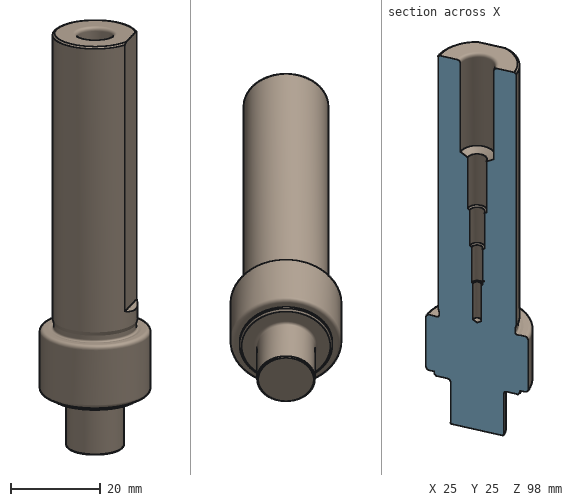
import cadquery as cq
import math

total_length = 98.0
pin_length = 12.0
pilot_top = 13.0
collar_top = 28.0

collar_diameter = 25.0
shaft_diameter = 19.1
pilot_diameter = 20.9
pin_diameter = 13.0

collar_round = 1.0
shaft_chamfer = 0.5
shaft_chamfer_height = 0.4
pilot_chamfer = 0.5
pin_chamfer = 0.3
pin_root_round = 0.7

neck_diameter = 18.6
neck_length = 2.3
neck_round = 0.5
neck_ramp = 0.9
face_relief_diameter = 20.9
face_relief_depth = 0.1

flat_offset = 8.4
flat_bottom = 34.3
run_out_angle = 35.0

mouth_round = 0.9
bore_steps = [
    (8.0, 24.5),
    (4.5, 39.2),
    (3.5, 49.0),
    (2.5, 58.8),
    (2.0, 68.6),
]
drill_point_angle = 118.0


def make_body():
    """Revolve the outside outline, drawn from the shaft end down to the pin end."""
    shaft_radius = shaft_diameter / 2
    collar_radius = collar_diameter / 2
    pilot_radius = pilot_diameter / 2
    pin_radius = pin_diameter / 2
    neck_radius = neck_diameter / 2
    neck_top = collar_top + neck_length
    neck_floor = collar_top - face_relief_depth

    outline = (
        cq.Workplane("XZ")
        .moveTo(0, total_length)
        .lineTo(shaft_radius - shaft_chamfer, total_length)
        .lineTo(shaft_radius, total_length - shaft_chamfer_height)
        .lineTo(shaft_radius, neck_top)
    )
    outline = (
        outline.lineTo(neck_radius, neck_top - neck_ramp)
        .lineTo(neck_radius, neck_floor + neck_round)
        .radiusArc((neck_radius + neck_round, neck_floor), -neck_round)
        .lineTo(face_relief_diameter / 2, collar_top)
    )
    outline = (
        outline.lineTo(collar_radius - collar_round, collar_top)
        .radiusArc((collar_radius, collar_top - collar_round), collar_round)
        .lineTo(collar_radius, pilot_top + collar_round)
        .radiusArc((collar_radius - collar_round, pilot_top), collar_round)
    )
    outline = (
        outline.lineTo(pilot_radius, pilot_top)
        .lineTo(pilot_radius, pin_length + pilot_chamfer)
        .lineTo(pilot_radius - pilot_chamfer, pin_length)
        .lineTo(pin_radius + pin_root_round, pin_length)
        .radiusArc((pin_radius, pin_length - pin_root_round), -pin_root_round)
        .lineTo(pin_radius, pin_chamfer)
        .lineTo(pin_radius - pin_chamfer, 0)
        .lineTo(0, 0)
        .close()
    )
    return outline.revolve()


def make_flat_cutter():
    """Block that removes the +X side of the shaft above the sloped run-out."""
    reach = collar_diameter - flat_offset
    run_out_drop = reach * math.tan(math.radians(run_out_angle))
    return (
        cq.Workplane("XZ")
        .moveTo(flat_offset, total_length)
        .lineTo(flat_offset, flat_bottom)
        .lineTo(flat_offset + reach, flat_bottom - run_out_drop)
        .lineTo(flat_offset + reach, total_length)
        .close()
        .extrude(shaft_diameter / 2, both=True)
    )


def make_bore():
    """Revolve the stepped bore, with a rounded mouth and drill-point cones between its steps."""
    cone_slope = 1 / math.tan(math.radians(drill_point_angle / 2))
    radii = [diameter / 2 for diameter, depth in bore_steps]
    floors = [total_length - depth for diameter, depth in bore_steps]
    next_radii = radii[1:] + [0]

    outline = (
        cq.Workplane("XZ")
        .moveTo(0, total_length)
        .lineTo(radii[0] + mouth_round, total_length)
        .radiusArc((radii[0], total_length - mouth_round), -mouth_round)
    )
    for radius, floor, next_radius in zip(radii, floors, next_radii):
        outline = outline.lineTo(radius, floor)
        outline = outline.lineTo(next_radius, floor - (radius - next_radius) * cone_slope)
    return outline.close().revolve()


result = make_body().cut(make_flat_cutter()).cut(make_bore())